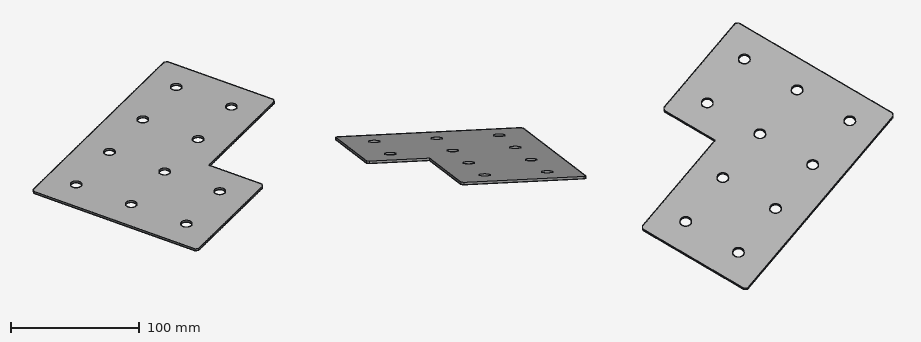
import cadquery as cq

pitch = 50.0
long_columns = 2
columns = 3
short_rows = 2
rows = 4
thickness = 2.0
hole_diameter = 9.0
corner_chamfer = 2.0

width = columns * pitch
length = rows * pitch
step_x = long_columns * pitch
step_y = short_rows * pitch

plate = (
    cq.Workplane("XY")
    .polyline([(0, 0), (width, 0), (width, step_y), (step_x, step_y), (step_x, length), (0, length)])
    .close()
    .extrude(thickness)
)

inner_corner = cq.selectors.NearestToPointSelector((step_x, step_y, thickness / 2))
outer_corners = cq.selectors.StringSyntaxSelector("|Z") - inner_corner
plate = plate.edges(outer_corners).chamfer(corner_chamfer)

hole_centers = []
for column in range(columns):
    rows_in_column = rows if column < long_columns else short_rows
    for row in range(rows_in_column):
        hole_centers.append(((column + 0.5) * pitch, (row + 0.5) * pitch))

holes = cq.Workplane("XY").pushPoints(hole_centers).circle(hole_diameter / 2).extrude(thickness)
result = plate.cut(holes)